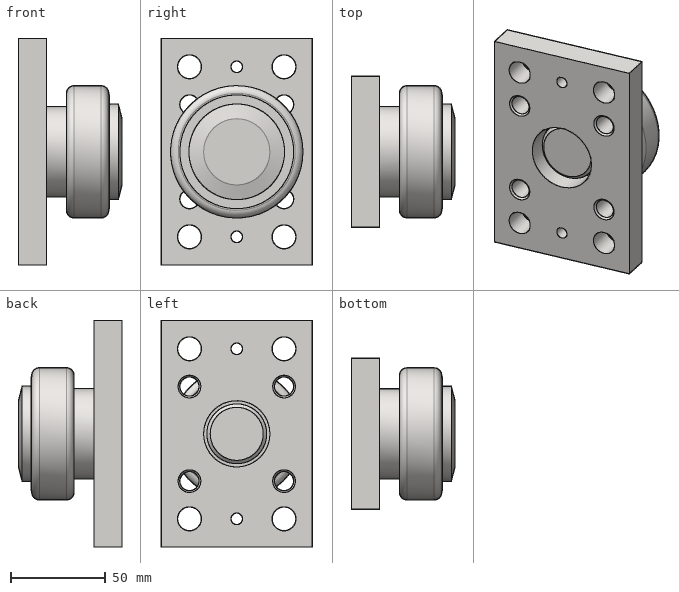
import cadquery as cq

plate_thickness = 15.0
plate_width = 80.0
plate_height = 120.0

hole_spacing_y = 50.0
outer_row_spacing_z = 90.0
inner_row_spacing_z = 50.0
bolt_hole_diameter = 12.5
dowel_hole_diameter = 6.0
tapped_hole_diameter = 10.1
tapped_hole_chamfer = 1.0

bore_diameter = 35.0
pin_diameter = 31.7
pin_chamfer = 1.8
pin_face_x = 6.5

neck_radius = 24.0
roller_start_x = 25.5
roller_end_x = 47.9
roller_radius = 35.0
roller_fillet = 4.1
washer_radius = 30.1
washer_end_x = 48.4
cap_radius = 25.3
cap_shoulder_x = 52.9
cap_end_x = 55.0
cap_face_radius = 17.5


def disc(start_x, end_x, radius):
    """Cylinder about the X axis."""
    return cq.Workplane("YZ").workplane(offset=start_x).circle(radius).extrude(end_x - start_x)


def cut_holes(body, positions, diameter):
    """Drill through holes into the plate at the given (Y, Z) positions."""
    drills = cq.Workplane("YZ").pushPoints(positions).circle(diameter / 2).extrude(plate_thickness)
    return body.cut(drills)


def corner_points(spacing_z):
    """Four (Y, Z) hole centres, symmetric about the plate centre."""
    y = hole_spacing_y / 2
    z = spacing_z / 2
    return [(side * y, end * z) for side in (-1, 1) for end in (-1, 1)]


def make_plate():
    plate = cq.Workplane("XY").box(
        plate_thickness, plate_width, plate_height, centered=(False, True, True)
    )
    plate = cut_holes(plate, [(0, 0)], bore_diameter)
    plate = cut_holes(plate, corner_points(outer_row_spacing_z), bolt_hole_diameter)
    dowel_points = [(0, end * outer_row_spacing_z / 2) for end in (-1, 1)]
    plate = cut_holes(plate, dowel_points, dowel_hole_diameter)

    tapped_points = corner_points(inner_row_spacing_z)
    plate = cut_holes(plate, tapped_points, tapped_hole_diameter)
    tapped_radius = tapped_hole_diameter / 2
    for y, z in tapped_points:
        countersink = cq.Solid.makeCone(
            tapped_radius + tapped_hole_chamfer,
            tapped_radius,
            tapped_hole_chamfer,
            cq.Vector(0, y, z),
            cq.Vector(1, 0, 0),
        )
        plate = plate.cut(cq.Workplane(countersink))
    return plate


def make_pin():
    pin = disc(pin_face_x, plate_thickness, pin_diameter / 2)
    return pin.faces("<X").chamfer(pin_chamfer)


def make_roller():
    neck = disc(plate_thickness, roller_start_x, neck_radius)
    tyre = disc(roller_start_x, roller_end_x, roller_radius).edges("%CIRCLE").fillet(roller_fillet)
    washer = disc(roller_end_x, washer_end_x, washer_radius)
    return neck.union(tyre).union(washer)


def make_cap():
    cap = disc(washer_end_x, cap_shoulder_x, cap_radius)
    cone = cq.Solid.makeCone(
        cap_radius,
        cap_face_radius,
        cap_end_x - cap_shoulder_x,
        cq.Vector(cap_shoulder_x, 0, 0),
        cq.Vector(1, 0, 0),
    )
    return cap.union(cq.Workplane(cone))


result = make_plate().union(make_roller()).union(make_pin()).union(make_cap())